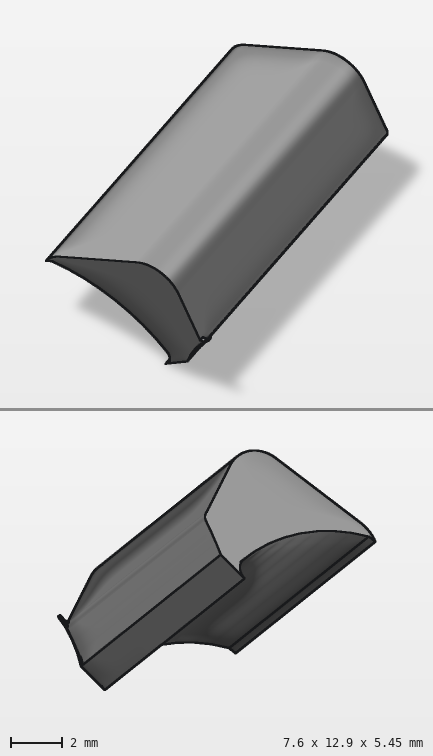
import cadquery as cq
import math

LENGTH = 12.9
TAB_THICKNESS = 0.19

TOP_SLOPE = math.radians(30)
BACK_SLOPE = math.radians(64.6)
CREST_RADIUS = 1.38
CREST_X = 4.95
CREST_Z = 5.45

NOSE_TIP = (0, 2.48)
NOSE_ROUND_START = (0.12, 2.68)
NOSE_ROUND_MIDDLE = (0.31, 2.92)
TOP_START_X = 0.6
HOLLOW_START = (0.28, 2.65)
HOLLOW_MIDDLE = (3.33, 2.25)
HOLLOW_END = (5.71, 0.72)
FOOT_ROUND_MIDDLE = (5.79, 0.35)
FOOT_TIP = (5.6, 0)
HEEL = (6.62, 0.83)
BACK_END_Z = 2.52
BODY_EDGE_MIDDLE = (7.29, 2.33)
BODY_EDGE_BOTTOM = (7.26, 2.15)
BODY_HEEL_MIDDLE = (6.93, 1.51)
TAB_ROOT = (7.39, 2.54)
TAB_TIP = (7.6, 2.73)
TAB_UNDERSIDE = (7.29, 2.36)
TAB_HEEL_MIDDLE = (6.86, 1.57)


def crest_point(angle):
    """Point on the crest round, with the angle measured clockwise from its top."""
    return (
        CREST_X + CREST_RADIUS * math.sin(angle),
        CREST_Z - CREST_RADIUS * (1 - math.cos(angle)),
    )


crest_start = crest_point(-TOP_SLOPE)
crest_end = crest_point(BACK_SLOPE)
top_start = (
    TOP_START_X,
    crest_start[1] - (crest_start[0] - TOP_START_X) * math.tan(TOP_SLOPE),
)
back_end = (
    crest_end[0] + (crest_end[1] - BACK_END_Z) / math.tan(BACK_SLOPE),
    BACK_END_Z,
)


def section_start(start_y):
    """Upper part of the section, from the nose tip over the crest to the back end."""
    return (
        cq.Workplane("XZ", origin=(0, start_y, 0))
        .moveTo(*NOSE_TIP)
        .lineTo(*NOSE_ROUND_START)
        .threePointArc(NOSE_ROUND_MIDDLE, top_start)
        .lineTo(*crest_start)
        .threePointArc(crest_point(0), crest_end)
        .lineTo(*back_end)
    )


def section_finish(outline, heel_middle, depth):
    """Close the section along the heel, foot and hollow, and extrude it towards +Y."""
    return (
        outline.threePointArc(heel_middle, HEEL)
        .lineTo(*FOOT_TIP)
        .threePointArc(FOOT_ROUND_MIDDLE, HOLLOW_END)
        .threePointArc(HOLLOW_MIDDLE, HOLLOW_START)
        .close()
        .extrude(-depth)
    )


front_y = -LENGTH / 2
tab_outline = section_start(front_y).lineTo(*TAB_ROOT).lineTo(*TAB_TIP).lineTo(*TAB_UNDERSIDE)
tab_slice = section_finish(tab_outline, TAB_HEEL_MIDDLE, TAB_THICKNESS)

body_outline = section_start(front_y + TAB_THICKNESS).threePointArc(BODY_EDGE_MIDDLE, BODY_EDGE_BOTTOM)
body = section_finish(body_outline, BODY_HEEL_MIDDLE, LENGTH - TAB_THICKNESS)

result = body.union(tab_slice)